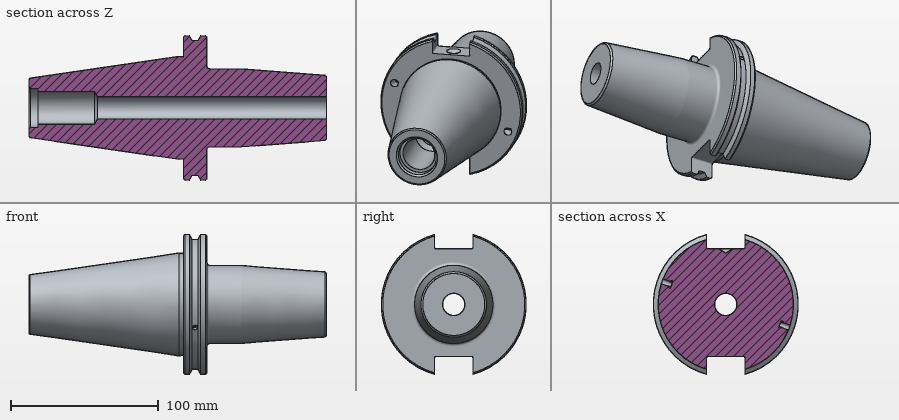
import cadquery as cq
import math

LENGTH = 201.5

TAPER_SLOPE = 7 / 48
TAPER_LENGTH = 101.8
GAUGE_RADIUS = 70.0 / 2
TAPER_END_RADIUS = GAUGE_RADIUS - TAPER_LENGTH * TAPER_SLOPE
TAPER_CHAMFER = 0.8

COLLAR_RADIUS = 34.7
COLLAR_START = 102.8

FLANGE_START = 104.6
FLANGE_WIDTH = 16.0
FLANGE_END = FLANGE_START + FLANGE_WIDTH
FLANGE_RADIUS = 98.2 / 2
FLANGE_CHAMFER = 1.0
GROOVE_CENTER = 112.5
GROOVE_FLOOR_WIDTH = 3.8
GROOVE_DEPTH = 3.2
GROOVE_FLANK_ANGLE = 30
GROOVE_FLOOR_RADIUS = FLANGE_RADIUS - GROOVE_DEPTH

NECK_RADIUS = 53.0 / 2
NECK_FILLET = 2.0
NOSE_TAPER_START = 144.0
NOSE_END_RADIUS = 22.2
NOSE_CHAMFER = 1.2

MOUTH_CHAMFER = 1.2
PILOT_RADIUS = 13.1
PILOT_DEPTH = 6.0
THREAD_RADIUS = 22.0 / 2
THREAD_DEPTH = 44.4
DRILL_TIP_ANGLE = 118
THROUGH_RADIUS = 7.5

NOTCH_WIDTH = 25.8
TOP_NOTCH_FLOOR = 37.7
BOTTOM_NOTCH_FLOOR = 35.3
NOTCH_FILLET = 0.8
DIMPLE_RADIUS = 9.5 / 2

COOLANT_ROLL = 20
COOLANT_MOUTH_RADIUS = 42.0
COOLANT_SLOPE = 20
COOLANT_DIAMETER = 5.0
CROSS_DIAMETER = 3.2


def tip_length(radius):
    """Length of a drill-point cone with the given base radius."""
    return radius / math.tan(math.radians(DRILL_TIP_ANGLE / 2))


def make_body():
    flank = GROOVE_DEPTH * math.tan(math.radians(GROOVE_FLANK_ANGLE))
    floor_half = GROOVE_FLOOR_WIDTH / 2
    rim_half = floor_half + flank
    fillet_mid = NECK_FILLET * (1 - math.sqrt(0.5))
    return (
        cq.Workplane("XY")
        .moveTo(0, 0)
        .lineTo(0, TAPER_END_RADIUS - TAPER_CHAMFER)
        .lineTo(TAPER_CHAMFER, TAPER_END_RADIUS + TAPER_CHAMFER * TAPER_SLOPE)
        .lineTo(TAPER_LENGTH, GAUGE_RADIUS)
        .lineTo(COLLAR_START, COLLAR_RADIUS)
        .lineTo(FLANGE_START, COLLAR_RADIUS)
        .lineTo(FLANGE_START, FLANGE_RADIUS - FLANGE_CHAMFER)
        .lineTo(FLANGE_START + FLANGE_CHAMFER, FLANGE_RADIUS)
        .lineTo(GROOVE_CENTER - rim_half, FLANGE_RADIUS)
        .lineTo(GROOVE_CENTER - floor_half, GROOVE_FLOOR_RADIUS)
        .lineTo(GROOVE_CENTER + floor_half, GROOVE_FLOOR_RADIUS)
        .lineTo(GROOVE_CENTER + rim_half, FLANGE_RADIUS)
        .lineTo(FLANGE_END - FLANGE_CHAMFER, FLANGE_RADIUS)
        .lineTo(FLANGE_END, FLANGE_RADIUS - FLANGE_CHAMFER)
        .lineTo(FLANGE_END, NECK_RADIUS + NECK_FILLET)
        .threePointArc(
            (FLANGE_END + fillet_mid, NECK_RADIUS + fillet_mid),
            (FLANGE_END + NECK_FILLET, NECK_RADIUS),
        )
        .lineTo(NOSE_TAPER_START, NECK_RADIUS)
        .lineTo(LENGTH - NOSE_CHAMFER, NOSE_END_RADIUS)
        .lineTo(LENGTH, NOSE_END_RADIUS - NOSE_CHAMFER)
        .lineTo(LENGTH, 0)
        .close()
        .revolve(360, (0, 0, 0), (1, 0, 0))
    )


def make_bore():
    cone_length = tip_length(THREAD_RADIUS) - tip_length(THROUGH_RADIUS)
    return (
        cq.Workplane("XY")
        .moveTo(0, 0)
        .lineTo(0, PILOT_RADIUS + MOUTH_CHAMFER)
        .lineTo(MOUTH_CHAMFER, PILOT_RADIUS)
        .lineTo(PILOT_DEPTH, PILOT_RADIUS)
        .lineTo(PILOT_DEPTH, THREAD_RADIUS)
        .lineTo(THREAD_DEPTH, THREAD_RADIUS)
        .lineTo(THREAD_DEPTH + cone_length, THROUGH_RADIUS)
        .lineTo(LENGTH, THROUGH_RADIUS)
        .lineTo(LENGTH, 0)
        .close()
        .revolve(360, (0, 0, 0), (1, 0, 0))
    )


def make_notch(floor):
    """Notch in the +Z side of the flange, with rounded floor corners."""
    return (
        cq.Workplane("XY")
        .box(FLANGE_WIDTH, NOTCH_WIDTH, FLANGE_RADIUS, centered=(False, True, False))
        .edges("|X and <Z")
        .fillet(NOTCH_FILLET)
        .translate((FLANGE_START, 0, floor))
    )


def make_dimple():
    """Drill-point dimple in the floor of the top notch."""
    base = cq.Vector(GROOVE_CENTER, 0, TOP_NOTCH_FLOOR)
    return cq.Solid.makeCone(DIMPLE_RADIUS, 0, tip_length(DIMPLE_RADIUS), base, cq.Vector(0, 0, -1))


def make_coolant_passage(roll):
    """Sloping hole from the flange face, met by a radial hole from the groove floor."""
    slope = math.radians(COOLANT_SLOPE)
    run = GROOVE_CENTER - FLANGE_START
    meeting_radius = COOLANT_MOUTH_RADIUS - run * math.tan(slope)
    lead = COOLANT_DIAMETER / 2
    sloping = cq.Solid.makeCylinder(
        COOLANT_DIAMETER / 2,
        lead + run / math.cos(slope),
        cq.Vector(
            FLANGE_START - lead * math.cos(slope), COOLANT_MOUTH_RADIUS + lead * math.sin(slope), 0
        ),
        cq.Vector(math.cos(slope), -math.sin(slope), 0),
    )
    radial = cq.Solid.makeCylinder(
        CROSS_DIAMETER / 2,
        FLANGE_RADIUS - meeting_radius,
        cq.Vector(GROOVE_CENTER, meeting_radius, 0),
        cq.Vector(0, 1, 0),
    )
    passage = cq.Workplane(sloping).union(cq.Workplane(radial))
    return passage.rotate((0, 0, 0), (1, 0, 0), roll)


result = make_body().cut(make_bore())
result = result.cut(make_notch(TOP_NOTCH_FLOOR))
result = result.cut(make_notch(BOTTOM_NOTCH_FLOOR).rotate((0, 0, 0), (1, 0, 0), 180))
result = result.cut(cq.Workplane(make_dimple()))
for roll in (COOLANT_ROLL, COOLANT_ROLL + 180):
    result = result.cut(make_coolant_passage(roll))